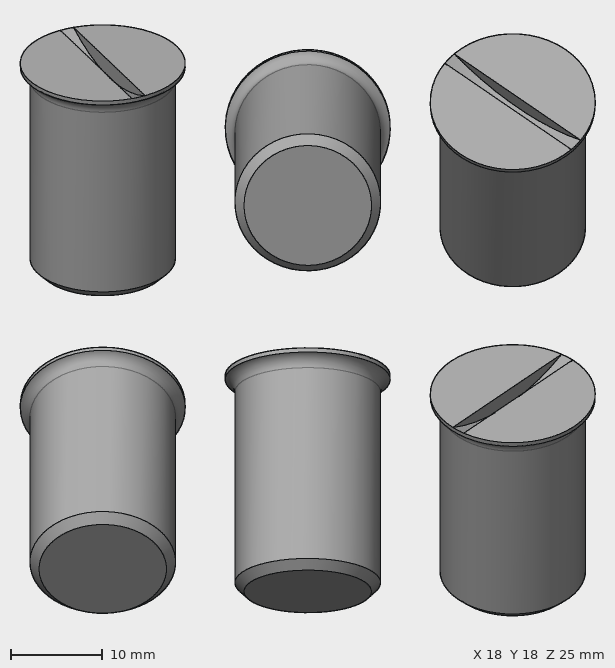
import cadquery as cq
import math

height = 25.0
head_diameter = 18.0
shank_diameter = 15.9
head_radius = head_diameter / 2
shank_radius = shank_diameter / 2

rim_thickness = 0.5
flare_radius = 1.5
flare_width = head_radius - shank_radius
flare_height = math.sqrt(flare_radius**2 - (flare_radius - flare_width) ** 2)

chamfer_height = 1.0
chamfer_width = 1.0

slot_width = 1.6
slot_depth = 2.0


def make_body():
    """Revolve the half profile of the flared plug about Z."""
    rim_bottom = height - rim_thickness
    flare_bottom = rim_bottom - flare_height
    return (
        cq.Workplane("XZ")
        .lineTo(shank_radius - chamfer_width, 0)
        .lineTo(shank_radius, chamfer_height)
        .lineTo(shank_radius, flare_bottom)
        .radiusArc((head_radius, rim_bottom), flare_radius)
        .lineTo(head_radius, height)
        .lineTo(0, height)
        .close()
        .revolve(360, (0, 0), (0, 1))
    )


def make_slot_cutter():
    """Circular segment whose chord spans the top face from rim to rim."""
    return (
        cq.Workplane("XZ")
        .moveTo(-head_radius, height)
        .threePointArc((0, height - slot_depth), (head_radius, height))
        .close()
        .extrude(slot_width / 2, both=True)
    )


result = make_body().cut(make_slot_cutter())